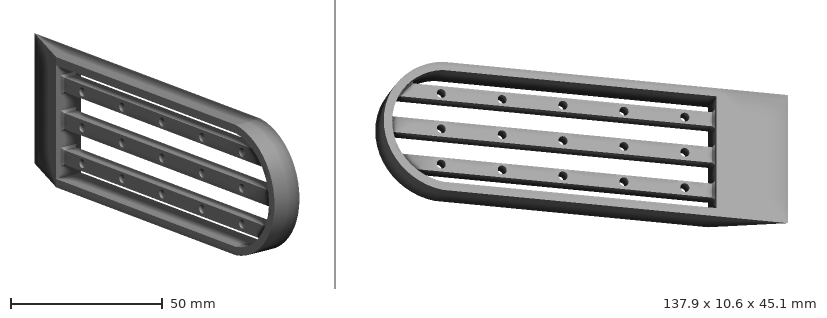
import cadquery as cq

length = 137.9
depth = 10.6
height = 45.1
half_height = height / 2

wedge_length = 24.3
wall = 2.9
nose_start = 117.8

bar_depth = 5.0
middle_bar_height = 5.5
outer_bar_height = 5.0
bar_spacing = 12.5
end_chamfer = 0.8
bar_overlap = 1.4

hole_diameter = 3.0
hole_row_spacing = 12.4
first_hole_x = 34.3
last_hole_x = 117.5
holes_per_bar = 5
hole_spacing = (last_hole_x - first_hole_x) / (holes_per_bar - 1)


def rounded_plate(left, right, half_width):
    """Full-depth plate with a square left end and an arc at the right end."""
    return (
        cq.Workplane("XZ")
        .moveTo(left, -half_width)
        .lineTo(nose_start, -half_width)
        .threePointArc((right, 0), (nose_start, half_width))
        .lineTo(left, half_width)
        .close()
        .extrude(-depth)
    )


def make_frame():
    """Rounded frame whose left end is cut to a sharp edge at the back."""
    frame = rounded_plate(0, length, half_height)
    window = rounded_plate(wedge_length, length - wall, half_height - wall)
    slope_cut = (
        cq.Workplane("XY")
        .polyline([(0, 0), (wedge_length, 0), (0, depth)])
        .close()
        .extrude(half_height, both=True)
    )
    return frame.cut(window).cut(slope_cut)


def make_bar(z, bar_height):
    """Bar running from the wedge block into the nose wall."""
    left = wedge_length - bar_overlap
    bar = cq.Workplane("XY").box(length - left, bar_depth, bar_height, centered=(False, True, True))
    bar = bar.translate((left, depth / 2, z))
    return bar.intersect(rounded_plate(left, length - wall + bar_overlap, half_height - wall / 2))


def joint_edges(body):
    """Edges where the bar ends meet the wedge block and the nose wall."""
    window = rounded_plate(wedge_length, length - wall, half_height - wall)
    ends = window.faces("<X").vals() + window.faces("%CYLINDER").vals()
    tolerance = 0.001

    def on_joint(edge):
        middle = edge.positionAt(0.5)
        inside_depth = tolerance < middle.y < depth - tolerance
        probe = cq.Vertex.makeVertex(*middle.toTuple())
        at_end = any(probe.distance(face) < tolerance for face in ends)
        return inside_depth and at_end and edge.Length() < depth - tolerance

    return body.newObject([edge for edge in body.edges().vals() if on_joint(edge)])


def make_holes():
    """Grid of holes along Y, one row for each bar."""
    holes = cq.Workplane("XZ")
    points = [
        (first_hole_x + column * hole_spacing, row * hole_row_spacing)
        for row in (-1, 0, 1)
        for column in range(holes_per_bar)
    ]
    return holes.pushPoints(points).circle(hole_diameter / 2).extrude(-depth)


body = make_frame()
for bar_row in (-1, 0, 1):
    row_height = outer_bar_height if bar_row else middle_bar_height
    body = body.union(make_bar(bar_row * bar_spacing, row_height))

body = joint_edges(body).chamfer(end_chamfer)
result = body.cut(make_holes())